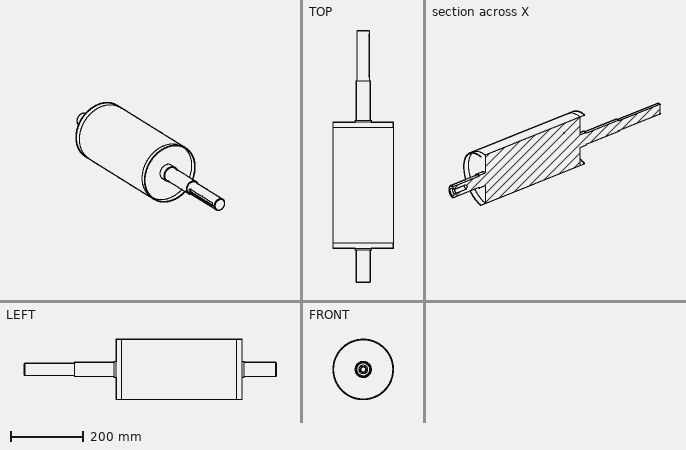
import cadquery as cq
import math

drum_diameter = 168.3
recess_diameter = 164.3
drum_length = 350.0
recess_depth = 15.0

collar_diameter = 45.0
collar_overhang = 5.0
journal_diameter = 40.0
front_journal_length = 95.0
rear_journal_length = 115.0
drive_end_diameter = 35.0
drive_end_length = 140.0
end_chamfer = 2.0

keyway_width = 10.0
keyway_depth = 5.0
keyway_length = 120.0
keyway_end_margin = 10.0

center_mouth_diameter = 24.0
center_mouth_angle = 60.0
center_guide_diameter = 17.0
center_guide_depth = 12.0
thread_core_diameter = 13.84
thread_core_depth = 45.0
drill_point_angle = 118.0

front_end = -front_journal_length
journal_end = drum_length + rear_journal_length
rear_end = journal_end + drive_end_length


def cylinder(diameter, start, end):
    """Solid cylinder on the Y axis from Y = start to Y = end."""
    plane = cq.Plane(origin=(0, start, 0), xDir=(1, 0, 0), normal=(0, 1, 0))
    return cq.Workplane(plane).circle(diameter / 2).extrude(end - start)


def make_drum():
    drum = cylinder(drum_diameter, 0, drum_length)
    for start in (0, drum_length - recess_depth):
        drum = drum.cut(cylinder(recess_diameter, start, start + recess_depth))
    return drum


def make_shaft():
    journal = cylinder(journal_diameter, front_end, journal_end).faces("<Y").chamfer(end_chamfer)
    collar = cylinder(collar_diameter, -collar_overhang, drum_length + collar_overhang)
    drive_end = cylinder(drive_end_diameter, journal_end, rear_end).faces(">Y").chamfer(end_chamfer)
    return journal.union(collar).union(drive_end)


def make_keyway():
    floor_x = drive_end_diameter / 2 - keyway_depth
    center_y = rear_end - keyway_end_margin - keyway_length / 2
    floor = cq.Workplane("YZ", origin=(floor_x, center_y, 0))
    return floor.slot2D(keyway_length, keyway_width).extrude(2 * keyway_depth)


def cone_depth(radius_change, included_angle):
    """Axial length over which a cone of the given included angle changes radius."""
    return radius_change / math.tan(math.radians(included_angle / 2))


def make_center_hole():
    mouth_radius = center_mouth_diameter / 2
    guide_radius = center_guide_diameter / 2
    core_radius = thread_core_diameter / 2
    guide_end = front_end + center_guide_depth
    core_end = front_end + thread_core_depth
    drill_tip = core_end + cone_depth(core_radius, drill_point_angle)
    mouth_end = front_end + cone_depth(mouth_radius - guide_radius, center_mouth_angle)
    profile = [
        (0, front_end),
        (mouth_radius, front_end),
        (guide_radius, mouth_end),
        (guide_radius, guide_end),
        (core_radius, guide_end),
        (core_radius, core_end),
        (0, drill_tip),
    ]
    return cq.Workplane("XY").polyline(profile).close().revolve(360, (0, 0, 0), (0, 1, 0))


roller = make_drum().union(make_shaft())
result = roller.cut(make_keyway()).cut(make_center_hole())